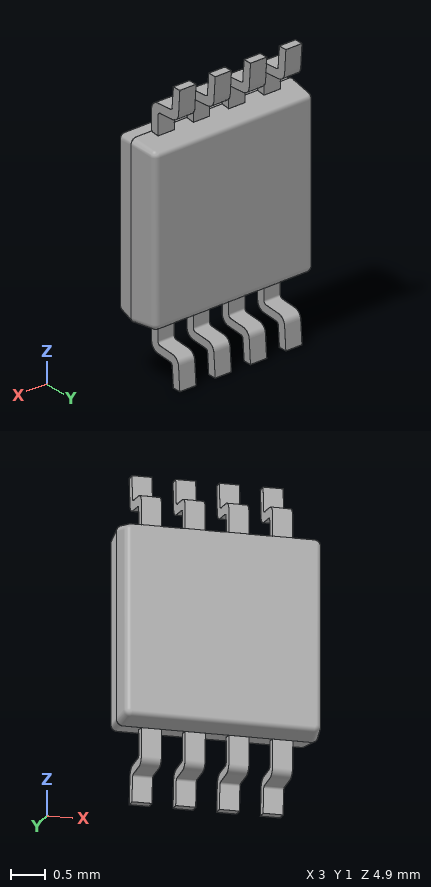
import cadquery as cq
import math


overall_depth = 1.0
lead_span = 4.9

body_width = 3.0
body_height = 3.01
body_offset_z = 0.015
upper_depth = 0.355
standoff = 0.15
lower_depth = overall_depth - upper_depth - standoff
upper_draft_x = 8.0
upper_draft_z = 11.0
lower_draft_x = 5.0
lower_draft_z = 6.5
edge_radius = 0.1

leads_per_side = 4
lead_pitch = 0.65
lead_width = 0.3
lead_thickness = 0.15
lead_lean = 4.0
tip_to_web = 0.38
inner_bend_radius = 0.05
outer_bend_radius = 0.15


def slope(angle):
    return math.tan(math.radians(angle))


def make_shell(depth, side, draft_x, draft_z):
    """Drafted half of the housing, from the parting plane to Y = side * depth."""
    face_width = body_width - 2 * depth * slope(draft_x)
    face_height = body_height - 2 * depth * slope(draft_z)
    shell = (
        cq.Workplane("XZ")
        .center(0, body_offset_z)
        .rect(body_width, body_height)
        .workplane(offset=-side * depth)
        .rect(face_width, face_height)
        .loft(ruled=True)
    )
    free_edges = "not <Y" if side > 0 else "not >Y"
    return shell.edges(free_edges).fillet(edge_radius)


def make_lead(x, end):
    """Gull-wing lead at the +Z (end = 1) or -Z (end = -1) wall of the housing."""
    foot_y = overall_depth - upper_depth
    tip_z = lead_span / 2
    lean = slope(lead_lean)
    leaned_thickness = lead_thickness / math.cos(math.radians(lead_lean))

    def bend_corner(foot_shift, web_shift):
        """Sharp corner where a leaning face of the foot meets a leaning face of the web."""
        inward = (foot_shift + lean * web_shift) / (1 - lean**2)
        below_tip = web_shift + lean * inward
        return foot_y - inward, tip_z - below_tip

    def web_point(y, web_shift):
        """Point at distance y from the parting plane on a leaning face of the web."""
        return y, tip_z - web_shift - lean * (foot_y - y)

    root_z = body_height / 2 + end * body_offset_z
    web_tip_side = tip_to_web
    web_root_side = tip_to_web + leaned_thickness
    foot_inner_corner = bend_corner(leaned_thickness, web_tip_side)
    foot_outer_corner = bend_corner(0, web_root_side)
    shank_outer_corner = web_point(0, web_tip_side)
    shank_inner_corner = web_point(lead_thickness, web_root_side)
    outline = [
        (0, root_z),
        shank_outer_corner,
        foot_inner_corner,
        (foot_y - leaned_thickness, tip_z),
        (foot_y, tip_z),
        foot_outer_corner,
        shank_inner_corner,
        (lead_thickness, root_z - lead_thickness * slope(lower_draft_z)),
    ]
    lead = (
        cq.Workplane("YZ")
        .workplane(offset=x - lead_width / 2)
        .polyline(outline)
        .close()
        .extrude(lead_width)
    )

    def bend_edge(corner):
        return cq.selectors.NearestToPointSelector((x, *corner))

    for corner in (foot_inner_corner, shank_inner_corner):
        lead = lead.edges("|X").edges(bend_edge(corner)).fillet(inner_bend_radius)
    for corner in (foot_outer_corner, shank_outer_corner):
        lead = lead.edges("|X").edges(bend_edge(corner)).fillet(outer_bend_radius)
    return lead if end > 0 else lead.mirror("XY")


upper_shell = make_shell(upper_depth, -1, upper_draft_x, upper_draft_z)
lower_shell = make_shell(lower_depth, 1, lower_draft_x, lower_draft_z)

leads = []
for end in (1, -1):
    for index in range(leads_per_side):
        lead_x = (index - (leads_per_side - 1) / 2) * lead_pitch
        leads.append(make_lead(lead_x, end).val())

result = cq.Compound.makeCompound([upper_shell.val(), lower_shell.val(), *leads])